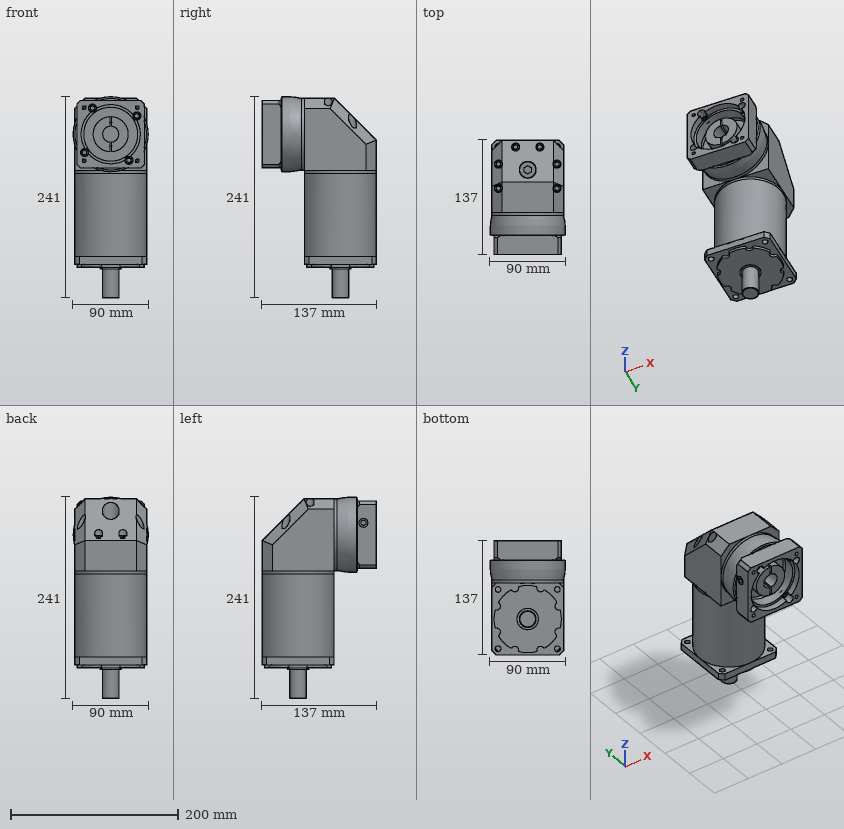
import cadquery as cq
import math


total_height = 241.0
total_depth = 137.0
body_width = 86.3
half_width = body_width / 2
spigot_length = 3.5

ring_diameter = 90.0
ring_radius = ring_diameter / 2
input_axis_z = total_height - ring_radius
ring_end_bevel_radial = 2.2
ring_end_bevel_axial = 0.7
ring_recess_depth = 4.8
ring_land_length = 1.7
ring_flare_length = 11.3
plate_width = 80.7
plate_thickness = 23.0

housing_front_y = -half_width
spigot_front_y = housing_front_y - spigot_length
plate_front_y = half_width - total_depth
plate_back_y = plate_front_y + plate_thickness
ring_floor_y = plate_back_y + ring_recess_depth

plate_corner_chamfer = 4.22
plate_back_chamfer = 2.7
motor_pilot_radius = 35.5
motor_pilot_depth = 8.5
plate_bore_radius = 32.3
motor_hole_offset = 31.8
motor_hole_diameter = 4.3
plate_screw_circle = 38.0
plate_screw_angle = 35.0
plate_screw_depth = 10.8

hub_radius = 21.0
hub_setback = 9.5
hub_bore_radius = 9.6
hub_neck_radius = 14.2
hub_neck_length = 9.6
hub_slit_width = 2.2

side_screw_radius = 5.3
side_screw_height = 14.2
side_screw_setback = 15.7
side_screw_recess = 0.5
side_socket_size = 6.7
side_socket_depth = 3.5

slope_cut = 50.1
housing_edge_chamfer = 12.5
housing_screw_floor_z = 191.5
housing_screw_near = 14.5
housing_screw_far = 35.0
plug_radius = 10.1
plug_y = 7.7
plug_floor_z = 213.3
plug_socket_size = 10.0
plug_socket_depth = 4.8
plug_gap = 0.5

screw_bore_radius = 4.8
screw_gap = 0.7
screw_head_height = 3.5
screw_socket_size = 5.8
screw_socket_depth = 2.5

flange_bottom_z = 40.5
flange_top_z = 50.0
flange_corner_chamfer = 5.5
flange_hole_offset = 35.5
flange_hole_diameter = 6.7
pilot_radius = 40.2
pilot_bottom_z = 36.9
scallop_count = 8
scallop_radius = 4.5
scallop_fillet = 1.5
seal_bottom_z = 35.2
seal_inner_radius = 11.5
seal_outer_radius = 12.8
shaft_radius = 10.0
shaft_tip_chamfer = 0.7

housing_top_z = input_axis_z + half_width
housing_bottom_z = input_axis_z - half_width
spigot_bottom_z = housing_bottom_z - spigot_length
side_screw_y = plate_front_y + side_screw_setback
side_screw_z = input_axis_z + side_screw_height


def input_plane(y):
    """Workplane across the input axis at the given Y; it extrudes toward -Y."""
    return cq.Workplane("XZ", origin=(0, y, input_axis_z))


def output_plane(z):
    """Workplane across the output axis at the given height; it extrudes upward."""
    return cq.Workplane("XY", origin=(0, 0, z))


def ring_of(plane, points, outer_radius, inner_radius, height):
    """Annular clearance around a screw head at each point."""
    return plane.pushPoints(points).circle(outer_radius).circle(inner_radius).extrude(height)


def hex_sockets(plane, points, size, depth):
    """Hexagonal pockets sunk behind the plane, corners along the plane's local Y."""
    sockets = plane.transformed(rotate=(0, 0, 90))
    turned = [(y, -x) for x, y in points]
    return sockets.pushPoints(turned).polygon(6, size).extrude(-depth)


def recessed_screws(body, floor, points, bore_length):
    """Cap screws standing in open bores, their sockets facing out of the bore."""
    head_top = floor.workplane(offset=screw_head_height)
    head_radius = screw_bore_radius - screw_gap
    body = body.cut(head_top.pushPoints(points).circle(screw_bore_radius).extrude(bore_length))
    body = body.cut(ring_of(floor, points, screw_bore_radius, head_radius, screw_head_height))
    return body.cut(hex_sockets(head_top, points, screw_socket_size, screw_socket_depth))


def make_housing():
    block = (
        cq.Workplane("YZ", origin=(-half_width, 0, 0))
        .moveTo(-half_width, housing_bottom_z)
        .lineTo(half_width, housing_bottom_z)
        .lineTo(half_width, housing_top_z - slope_cut)
        .lineTo(half_width - slope_cut, housing_top_z)
        .lineTo(-half_width, housing_top_z)
        .close()
        .extrude(body_width)
    )
    middle_y = half_width - slope_cut / 2
    middle_z = housing_top_z - slope_cut / 2
    nearest_edge = cq.selectors.NearestToPointSelector
    for side in (-half_width, half_width):
        back = nearest_edge((side, half_width, (housing_bottom_z + middle_z) / 2))
        slope = nearest_edge((side, middle_y, middle_z))
        top = nearest_edge((side, (middle_y - half_width) / 2, housing_top_z))
        block = block.edges(back + slope + top).chamfer(housing_edge_chamfer)

    block = block.union(input_plane(housing_front_y).circle(half_width).extrude(spigot_length))
    block = block.union(output_plane(spigot_bottom_z).circle(half_width).extrude(spigot_length))

    side_points = [
        (x, y)
        for x in (-housing_screw_far, housing_screw_far)
        for y in (-housing_screw_near, housing_screw_near)
    ]
    back_points = [(x, housing_screw_far) for x in (-housing_screw_near, housing_screw_near)]
    block = recessed_screws(
        block,
        output_plane(housing_screw_floor_z),
        side_points + back_points,
        housing_top_z - housing_screw_floor_z,
    )

    plug_point = [(0, plug_y)]
    plug_plane = output_plane(plug_floor_z)
    block = block.cut(plug_plane.pushPoints(plug_point).circle(plug_radius).extrude(slope_cut))
    groove_plane = output_plane(plug_floor_z - plug_socket_depth)
    block = block.cut(
        ring_of(groove_plane, plug_point, plug_radius, plug_radius - plug_gap, plug_socket_depth)
    )
    return block.cut(hex_sockets(plug_plane, plug_point, plug_socket_size, plug_socket_depth))


def make_input_ring():
    land_end_y = spigot_front_y - ring_land_length
    profile = (
        cq.Workplane("XY")
        .moveTo(0, spigot_front_y)
        .lineTo(0, plate_back_y)
        .lineTo(ring_radius - ring_end_bevel_radial, plate_back_y)
        .lineTo(ring_radius, plate_back_y + ring_end_bevel_axial)
        .lineTo(ring_radius, land_end_y - ring_flare_length)
        .tangentArcPoint((half_width, land_end_y), relative=False)
        .lineTo(half_width, spigot_front_y)
        .close()
    )
    ring = profile.revolve(360, (0, 0, 0), (0, 1, 0)).translate((0, 0, input_axis_z))
    recess = input_plane(ring_floor_y).circle(plate_bore_radius).extrude(ring_recess_depth)
    neck_seat = input_plane(ring_floor_y).circle(hub_neck_radius).extrude(-hub_neck_length)
    return ring.cut(recess).cut(neck_seat)


def make_adapter_plate():
    plate = (
        input_plane(plate_back_y)
        .rect(plate_width, plate_width)
        .extrude(plate_thickness)
        .edges("|Y")
        .chamfer(plate_corner_chamfer)
    )
    corner = plate_width / 2 - plate_corner_chamfer / 2
    for x in (-corner, corner):
        for z in (input_axis_z - corner, input_axis_z + corner):
            back_corner = cq.selectors.NearestToPointSelector((x, plate_back_y, z))
            plate = plate.edges(back_corner).chamfer(plate_back_chamfer)

    plate = plate.cut(input_plane(plate_back_y).circle(plate_bore_radius).extrude(plate_thickness))
    plate = plate.cut(input_plane(plate_front_y).circle(motor_pilot_radius).extrude(-motor_pilot_depth))

    motor_holes = (
        input_plane(plate_back_y)
        .rect(2 * motor_hole_offset, 2 * motor_hole_offset, forConstruction=True)
        .vertices()
        .circle(motor_hole_diameter / 2)
        .extrude(plate_thickness)
    )
    plate = plate.cut(motor_holes)

    screw_points = []
    for quarter in range(4):
        angle = math.radians(plate_screw_angle + 90 * quarter)
        screw_points.append((plate_screw_circle * math.cos(angle), plate_screw_circle * math.sin(angle)))
    screw_floor = input_plane(plate_front_y + plate_screw_depth + screw_head_height)
    plate = recessed_screws(plate, screw_floor, screw_points, plate_screw_depth)

    side_plane = cq.Workplane("YZ", origin=(-plate_width / 2, side_screw_y, side_screw_z))
    side_recess = side_plane.circle(side_screw_radius).extrude(side_screw_recess)
    side_socket = (
        side_plane.transformed(rotate=(0, 0, 90))
        .polygon(6, side_socket_size)
        .extrude(side_screw_recess + side_socket_depth)
    )
    return plate.cut(side_recess).cut(side_socket)


def make_clamp_hub():
    hub_front_y = plate_front_y + hub_setback
    hub_length = ring_floor_y - hub_front_y
    hub = input_plane(ring_floor_y).circle(hub_radius).extrude(hub_length)
    slit = input_plane(ring_floor_y).rect(hub_slit_width, 2 * hub_radius).extrude(hub_length)
    hub = hub.cut(slit)
    hub = hub.union(input_plane(ring_floor_y).circle(hub_neck_radius).extrude(-hub_neck_length))
    bore = input_plane(hub_front_y).circle(hub_bore_radius).extrude(-hub_length)
    return hub.cut(bore)


def make_gearbox():
    flange = (
        output_plane(flange_bottom_z)
        .rect(body_width, body_width)
        .extrude(flange_top_z - flange_bottom_z)
        .edges("|Z")
        .chamfer(flange_corner_chamfer)
    )
    flange_holes = (
        output_plane(flange_bottom_z)
        .rect(2 * flange_hole_offset, 2 * flange_hole_offset, forConstruction=True)
        .vertices()
        .circle(flange_hole_diameter / 2)
        .extrude(flange_top_z - flange_bottom_z)
    )
    barrel = output_plane(flange_top_z).circle(half_width).extrude(spigot_bottom_z - flange_top_z)

    pilot_height = flange_bottom_z - pilot_bottom_z
    scallops = (
        output_plane(pilot_bottom_z)
        .polarArray(pilot_radius, 180 / scallop_count, 360, scallop_count)
        .circle(scallop_radius)
        .extrude(pilot_height)
    )
    pilot = output_plane(pilot_bottom_z).circle(pilot_radius).extrude(pilot_height).cut(scallops)
    pilot = pilot.edges("|Z").fillet(scallop_fillet)

    seal = (
        output_plane(pilot_bottom_z)
        .circle(seal_inner_radius)
        .workplane(offset=seal_bottom_z - pilot_bottom_z)
        .circle(seal_outer_radius)
        .loft()
    )
    shaft_bore = output_plane(seal_bottom_z).circle(shaft_radius).extrude(flange_top_z - seal_bottom_z)
    return flange.cut(flange_holes).union(barrel).union(pilot).union(seal).cut(shaft_bore)


def make_output_shaft():
    shaft = output_plane(0).circle(shaft_radius).extrude(flange_top_z)
    return shaft.faces("<Z").chamfer(shaft_tip_chamfer)


housing = make_housing()
input_ring = make_input_ring()
adapter_plate = make_adapter_plate()
clamp_hub = make_clamp_hub()
gearbox = make_gearbox()
output_shaft = make_output_shaft()

result = cq.Compound.makeCompound(
    [
        housing.val(),
        input_ring.val(),
        adapter_plate.val(),
        clamp_hub.val(),
        gearbox.val(),
        output_shaft.val(),
    ]
)